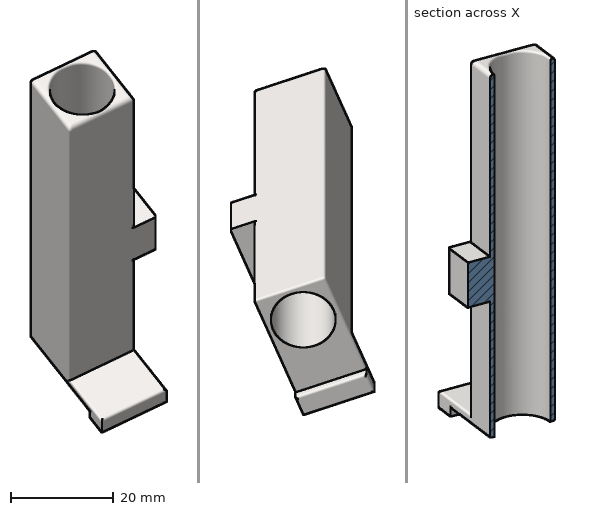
import cadquery as cq

tube_side = 15.0
tube_height = 80.0
bore_diameter = 12.7
edge_radius = 0.5
top_edge_radius = 1.0
bore_rim_radius = 0.5

arm_reach = 12.0
arm_thickness = 2.0
lip_length = 4.5
lip_drop = 2.0

tab_reach = 5.0
tab_height = 10.0
tab_bottom = 30.0

arm_end = tube_side + arm_reach
arm_start = tube_side - edge_radius
tab_start = tube_side - edge_radius


def box(x_range, y_range, z_range):
    """Axis-aligned box given by its (low, high) limits along each axis."""
    limits = (x_range, y_range, z_range)
    size = [high - low for low, high in limits]
    corner = (x_range[0], y_range[0], z_range[0])
    return cq.Workplane("XY").box(*size, centered=False).translate(corner)


def make_tube():
    """Solid square column with rounded corners and rounded top and bottom edges."""
    column = box((0, tube_side), (0, tube_side), (0, tube_height))
    column = column.edges("|Z").fillet(edge_radius)
    column = column.faces("<Z").edges().fillet(edge_radius)
    return column.faces(">Z").edges().fillet(top_edge_radius)


def make_arm():
    """Flat arm and its hanging lip, with the exposed rims rounded."""
    y_range = (0, tube_side)
    plate = box((arm_start, arm_end), y_range, (0, arm_thickness))
    plate = plate.faces("<Z").edges("|X").fillet(edge_radius)
    lip = box((arm_end - lip_length, arm_end), y_range, (-lip_drop, edge_radius))
    arm = plate.union(lip)
    arm = arm.faces(">Z").edges("|X or >X").fillet(edge_radius)
    return arm.faces("<Z").edges().fillet(edge_radius)


def make_tab():
    """Block on the +Y face, rounded along its two outer upright edges."""
    y_range = (tab_start, tube_side + tab_reach)
    z_range = (tab_bottom, tab_bottom + tab_height)
    tab = box((0, tube_side), y_range, z_range)
    return tab.faces(">Y").edges("|Z").fillet(edge_radius)


def bore_tube(body):
    """Cut the bore through the tube and round its upper rim into the rounded top edges."""
    center = tube_side / 2
    bore = cq.Workplane("XY").center(center, center).circle(bore_diameter / 2).extrude(tube_height)
    body = body.cut(bore)
    return body.faces(">Z").edges("%CIRCLE").fillet(bore_rim_radius)


result = bore_tube(make_tube().union(make_arm()).union(make_tab()))